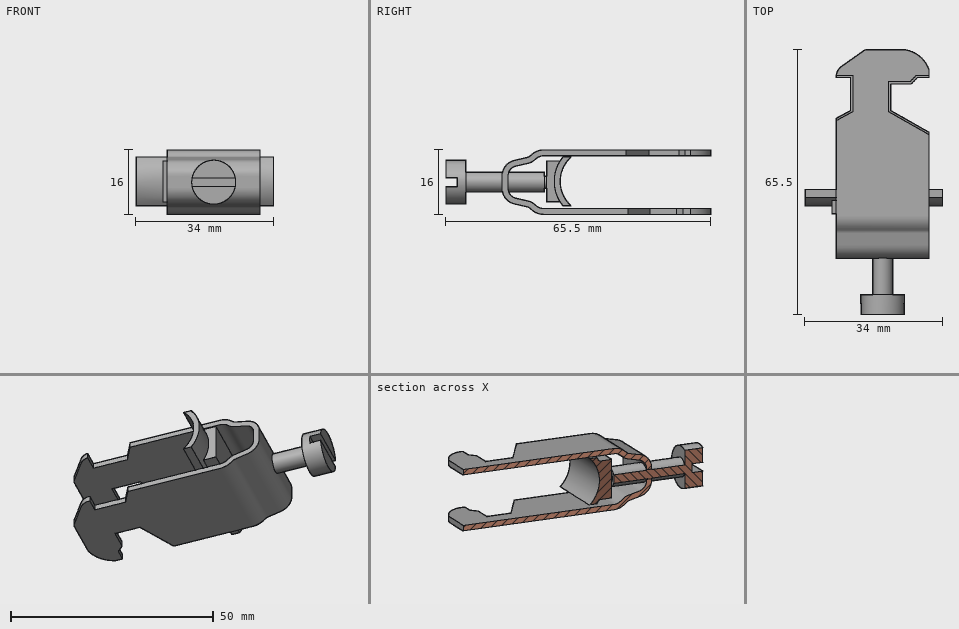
import cadquery as cq
import math


bracket_width = 23.0
bracket_height = 16.0
sheet = 1.5
leg_tip = 51.6
half_width = bracket_width / 2
half_height = bracket_height / 2

waist_y = 6.6
waist_z = 6.2
slope_angle = 13
ramp_angle = 40
base_bend_radius = 4.0
waist_bend_radius = 1.65
shoulder_bend_radius = 4.25

neck_left = -8.0
neck_right = 2.0
neck_base = 36.55
left_shoulder = 34.65
right_shoulder = 31.2
head_underside = 44.65
step_underside = 43.1
step_inner_x = 7.0
step_outer_x = 8.6
head_flat_left = -3.9
head_flat_right = 5.55
head_right_side = 46.55
head_left_side = 45.3
right_arc_middle = (9.3, 49.8)
left_arc_end = (-10.1, 47.55)
left_arc_middle = (-11.05, 46.5)
tip_bend_start = (-5.0, 51.15)
tip_bend_middle = (-4.5, 51.5)

upper_relief = 0.6
upper_corner_drop = 0.25

shank_diameter = 5.0
shank_tip = 10.5
pilot_diameter = 3.0
head_seat = -8.9
head_end = leg_tip - 65.5
head_diameter = 10.9
slot_width = 2.15
slot_depth = 2.8

saddle_left = -19.2
saddle_length = 34.0
saddle_height = 12.05
saddle_inner_radius = 8.1
saddle_outer_radius = saddle_inner_radius + sheet
saddle_apex = 12.9
block_back = 11.0
block_height = 10.1
block_length = 20.7
saddle_lift = 0.2
saddle_axis_y = saddle_apex + saddle_outer_radius
saddle_middle_x = saddle_left + saddle_length / 2


def bent_strip():
    """U-shaped sheet, bent in the YZ plane and extruded across the full width."""
    base_z = waist_z - waist_y * math.tan(math.radians(slope_angle))
    shoulder_y = waist_y + (half_height - waist_z) / math.tan(math.radians(ramp_angle))
    overrun = leg_tip + 2 * sheet
    upper = [(0, base_z), (waist_y, waist_z), (shoulder_y, half_height), (overrun, half_height)]
    lower = [(y, -z) for y, z in reversed(upper)]
    body = (
        cq.Workplane("YZ", origin=(-half_width, 0, 0))
        .polyline(upper + lower)
        .close()
        .extrude(bracket_width)
    )
    bends = [
        (0, base_z, base_bend_radius),
        (waist_y, waist_z, waist_bend_radius),
        (shoulder_y, half_height, shoulder_bend_radius),
    ]
    for y, z, radius in bends:
        for side in (1, -1):
            edge = cq.selectors.NearestToPointSelector((0, y, side * z))
            body = body.edges("|X").edges(edge).fillet(radius)
    cavity = body.faces("<X").wires().toPending().offset2D(-sheet).extrude(bracket_width, combine=False)
    return body.cut(cavity)


def leg_blank(relief, corner_drop, z_start):
    """Block of half the bracket height with the leg's plan outline; relief enlarges the notches."""
    return (
        cq.Workplane("XY", origin=(0, 0, z_start))
        .moveTo(-half_width, 0)
        .lineTo(half_width, 0)
        .lineTo(half_width, right_shoulder - relief)
        .lineTo(neck_right - relief, neck_base - corner_drop)
        .lineTo(neck_right - relief, step_underside + relief)
        .lineTo(step_inner_x - corner_drop, step_underside + relief)
        .lineTo(step_outer_x - corner_drop, head_underside + relief)
        .lineTo(half_width, head_underside + relief)
        .lineTo(half_width, head_right_side)
        .threePointArc(right_arc_middle, (head_flat_right, leg_tip))
        .lineTo(head_flat_left, leg_tip)
        .threePointArc(tip_bend_middle, tip_bend_start)
        .lineTo(*left_arc_end)
        .threePointArc(left_arc_middle, (-half_width, head_left_side))
        .lineTo(-half_width, head_underside + relief)
        .lineTo(neck_left + relief, head_underside + relief)
        .lineTo(neck_left + relief, neck_base - corner_drop)
        .lineTo(-half_width, left_shoulder - relief)
        .close()
        .extrude(half_height)
    )


def cylinder_along_y(diameter, y_start, y_end):
    """Cylinder on the screw axis, from y_start up to y_end."""
    return cq.Workplane("XZ", origin=(0, y_end, 0)).circle(diameter / 2).extrude(y_end - y_start)


def make_bracket():
    lower_blank = leg_blank(0, 0, -half_height)
    upper_blank = leg_blank(upper_relief, upper_corner_drop, 0)
    plan = lower_blank.union(upper_blank)
    screw_hole = cylinder_along_y(shank_diameter, head_seat, shank_tip)
    return bent_strip().intersect(plan).cut(screw_hole)


def make_screw():
    turned = (
        cq.Workplane("XY")
        .moveTo(0, head_end)
        .lineTo(head_diameter / 2, head_end)
        .lineTo(head_diameter / 2, head_seat)
        .lineTo(shank_diameter / 2, head_seat)
        .lineTo(shank_diameter / 2, shank_tip)
        .lineTo(pilot_diameter / 2, shank_tip)
        .lineTo(pilot_diameter / 2, block_back)
        .lineTo(0, block_back)
        .close()
        .revolve(360, (0, 0, 0), (0, 1, 0))
    )
    slot = cq.Workplane("XY").box(2 * head_diameter, 2 * slot_depth, slot_width)
    return turned.cut(slot.translate((0, head_end, 0)))


def make_saddle():
    axis_start = (saddle_left, saddle_axis_y, 0)
    ring = (
        cq.Workplane("YZ", origin=axis_start)
        .circle(saddle_outer_radius)
        .circle(saddle_inner_radius)
        .extrude(saddle_length)
    )
    window = cq.Workplane("XY").box(saddle_length, saddle_outer_radius, saddle_height)
    window = window.translate((saddle_middle_x, saddle_axis_y - saddle_outer_radius / 2, 0))
    block_depth = saddle_axis_y - block_back
    block = cq.Workplane("XY").box(block_length, block_depth, block_height)
    block = block.translate((saddle_middle_x, block_back + block_depth / 2, 0))
    bore = cq.Workplane("YZ", origin=axis_start).circle(saddle_inner_radius).extrude(saddle_length)
    saddle = ring.intersect(window).union(block.cut(bore))
    return saddle.translate((0, 0, saddle_lift))


bracket = make_bracket()
screw = make_screw()
saddle = make_saddle()

result = cq.Compound.makeCompound([bracket.solids().val(), screw.solids().val(), saddle.solids().val()])